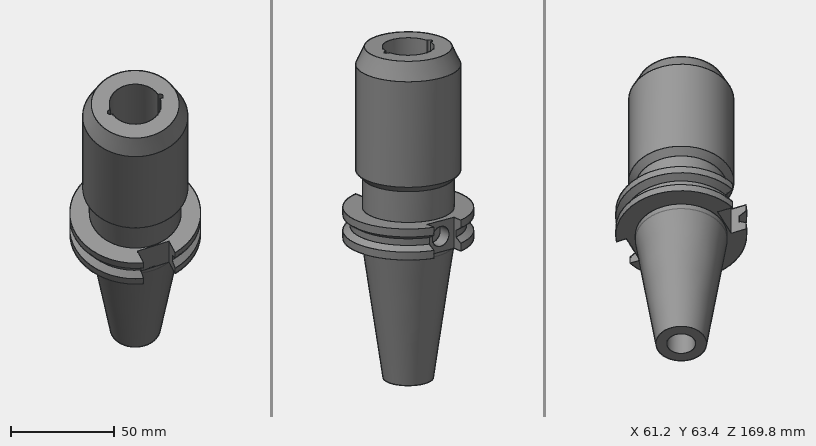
import cadquery as cq

total_height = 169.8
gauge_height = 68.5
flange_bottom = 71.5
flange_height = 16.0
flange_top = flange_bottom + flange_height
body_bottom = 103.3
body_lower_chamfer = 3.4
nose_chamfer_height = 9.0

taper_ratio = 7 / 24
gauge_radius = 22.3
taper_end_radius = gauge_radius - gauge_height * taper_ratio / 2
flange_radius = 63.4 / 2
body_radius = 25.5
nose_radius = 21.2

groove_radius = 28.2
groove_floor_bottom = 77.8
groove_floor_top = 81.2
groove_flank_height = 2.2

drive_slot_width = 16.5
left_slot_floor = 25.3
right_slot_floor = 22.8

side_hole_diameter = 10.2
side_hole_depth = 6.8

bore_radius = 12.5
bore_depth = 57.7
through_hole_diameter = 14.0
coolant_groove_width = 2.7
coolant_groove_reach = 14.5


def make_holder():
    """Revolve the taper, grooved flange, neck and chamfered body."""
    outline = [
        (0, 0),
        (taper_end_radius, 0),
        (gauge_radius, gauge_height),
        (gauge_radius, flange_bottom),
        (flange_radius, flange_bottom),
        (flange_radius, groove_floor_bottom - groove_flank_height),
        (groove_radius, groove_floor_bottom),
        (groove_radius, groove_floor_top),
        (flange_radius, groove_floor_top + groove_flank_height),
        (flange_radius, flange_top),
        (gauge_radius, flange_top),
        (gauge_radius, body_bottom),
        (body_radius, body_bottom + body_lower_chamfer),
        (body_radius, total_height - nose_chamfer_height),
        (nose_radius, total_height),
        (0, total_height),
    ]
    return cq.Workplane("XZ").polyline(outline).close().revolve(360, (0, 0), (0, 1))


def make_drive_slot(side, floor_distance):
    """Block that cuts one drive slot; side is -1 for -X or +1 for +X."""
    length = flange_radius - floor_distance
    center_x = side * (floor_distance + length / 2)
    return (
        cq.Workplane("XY", origin=(center_x, 0, flange_bottom))
        .rect(length, drive_slot_width)
        .extrude(flange_height)
    )


def make_side_hole():
    """Blind hole running inward from the left slot floor."""
    center_height = flange_bottom + flange_height / 2
    return (
        cq.Workplane("YZ", origin=(-left_slot_floor, 0, center_height))
        .circle(side_hole_diameter / 2)
        .extrude(side_hole_depth)
    )


def make_bore():
    """Tool bore with a round-ended coolant groove on each Y side."""
    bottom = cq.Workplane("XY", origin=(0, 0, total_height - bore_depth))
    bore = bottom.circle(bore_radius).extrude(bore_depth)
    grooves = bottom.slot2D(2 * coolant_groove_reach, coolant_groove_width, 90).extrude(bore_depth)
    return bore.union(grooves)


through_hole = cq.Workplane("XY").circle(through_hole_diameter / 2).extrude(total_height)

result = (
    make_holder()
    .cut(make_drive_slot(-1, left_slot_floor))
    .cut(make_drive_slot(1, right_slot_floor))
    .cut(make_side_hole())
    .cut(make_bore())
    .cut(through_hole)
)